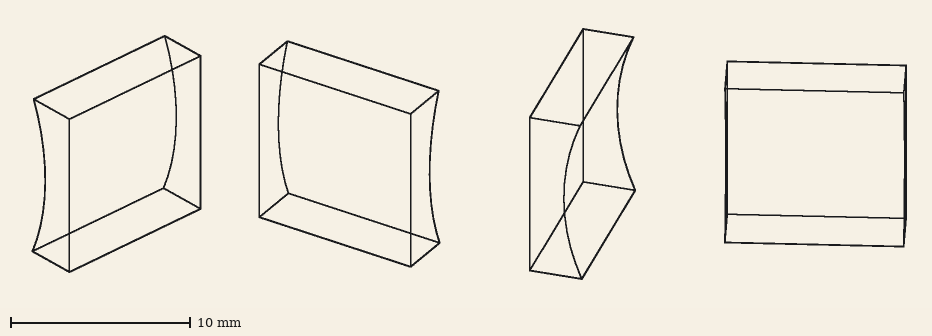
import cadquery as cq

height = 10.0
width = 10.0
center_thickness = 2.0
bottom_edge_thickness = 3.05
top_edge_thickness = 2.95

half_height = height / 2


def lens_profile():
    """Closed XZ section: flat back at X = 0 and one concave arc in front of it."""
    bottom_edge = (-bottom_edge_thickness, -half_height)
    mid_face = (-center_thickness, 0)
    return (
        cq.Workplane("XZ")
        .moveTo(0, -half_height)
        .lineTo(0, half_height)
        .lineTo(-top_edge_thickness, half_height)
        .threePointArc(mid_face, bottom_edge)
        .close()
    )


result = lens_profile().extrude(width / 2, both=True)